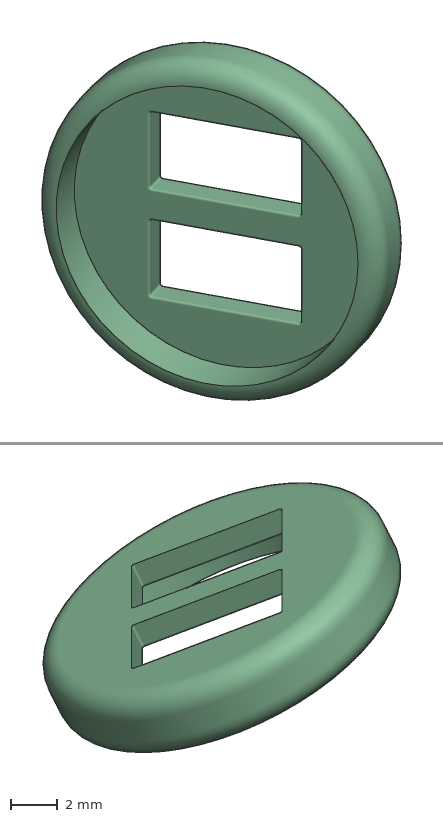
import cadquery as cq

outer_diameter = 16.0
bore_diameter = 14.0
thickness = 3.2
rim_radius = (outer_diameter - bore_diameter) / 2

web_thickness = 1.2

window_width = 7.02
window_height = 3.66
window_spacing = 5.11
windows_center_z = -0.03
window_corner_radius = 0.12
window_edge_radius = 0.1

front_y = -thickness / 2
back_y = thickness / 2
web_front_y = back_y - web_thickness


def plane_at(y):
    """Plane facing -Y at the given depth, with local x along +X and local y along +Z."""
    return cq.Workplane("XZ", origin=(0, y, 0))


def make_cup():
    """Disc with fully rounded rims and a round recess open at the front."""
    disc = plane_at(back_y).circle(outer_diameter / 2).extrude(thickness)
    disc = disc.faces("<Y or >Y").edges().fillet(rim_radius)
    recess_depth = web_front_y - front_y
    recess = plane_at(web_front_y).circle(bore_diameter / 2).extrude(recess_depth)
    return disc.cut(recess)


def cut_windows(body):
    """Cut the two windows through the web and round their edges on the recess floor."""
    centers = [(0, windows_center_z + side * window_spacing / 2) for side in (-1, 1)]
    openings = (
        plane_at(back_y)
        .pushPoints(centers)
        .rect(window_width, window_height)
        .extrude(web_thickness)
        .edges("|Y")
        .fillet(window_corner_radius)
    )
    margin = window_edge_radius
    half_width = window_width / 2 + margin
    half_height = (window_spacing + window_height) / 2 + margin
    floor_edges = cq.selectors.BoxSelector(
        (-half_width, web_front_y - margin, windows_center_z - half_height),
        (half_width, web_front_y + margin, windows_center_z + half_height),
        boundingbox=True,
    )
    return body.cut(openings).edges(floor_edges).fillet(window_edge_radius)


result = cut_windows(make_cup())